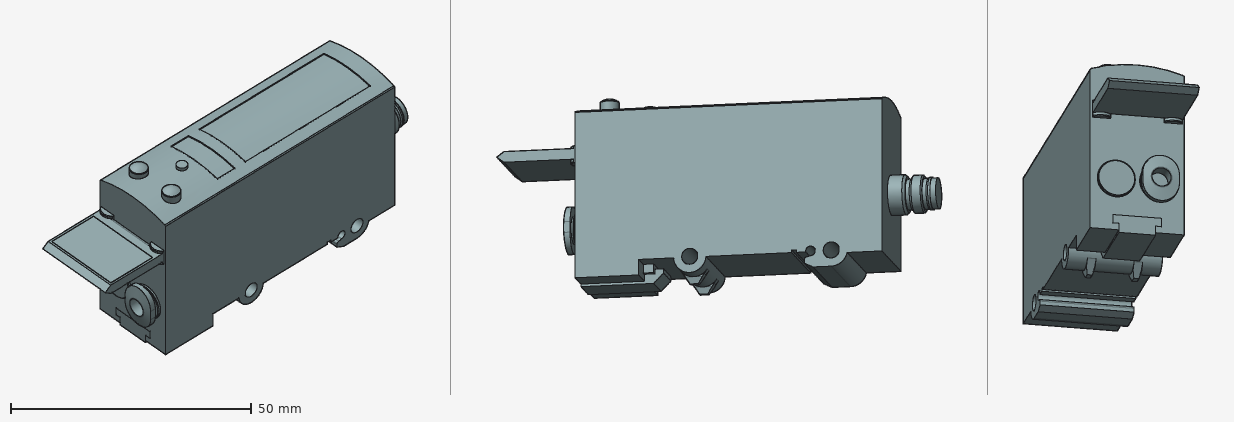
import cadquery as cq
import math


width = 20.0
depth = 65.2
crest_z = 33.7
arch_edge_z = 32.2
edge_chamfer = 0.23
foot_depth = 13.5
foot_bottom_z = -3.3
rear_bottom_z = -0.51

window_width = 14.15
window_sink = 0.3
window_spans = [(17.5, 22.4), (25.5, 60.9)]

button_d = 4.0
button_y = 6.3
button_offset = 5.0
button_shoulder_z = 34.7
button_dome_d = 3.9
button_dome_z = 34.9
button_top_z = 35.6
lamp_d = 2.5
lamp_y = 14.0
lamp_top_z = 34.5

lug_hole_d = 3.4
lug_hole_z = 0.2
lug_radius = 3.45
lug_bottom_z = lug_hole_z - lug_radius
front_lug_y = 24.35
rear_lug_y = 54.4
tip_bottom_z = -4.7
tip_bottom_width = 1.8
tip_tangent_angle = 34
tip_offset = 5.0
tip_root_thickness = 1.8
tip_end_thickness = 1.1
keyhole_d = 2.0
keyhole_y = 50.0
hook_flat_y = 50.5
hook_nose_y = 48.7
hook_nose_z = -2.4
hook_nose_radius = 0.51
hook_top_z = -1.06
notch_width = 1.0
notch_height = 0.55
notch_y = 46.5

flap_width = 19.1
flap_length = 16.7
flap_z = 23.25
flap_thickness = 2.3
flap_bevel = 1.6
recess_width = 18.0
recess_front_y = -14.6
recess_rear_y = -2.8
recess_sink = 0.1
flap_root_radius = 0.8
knuckle_width = 3.9
knuckle_reach = 1.4
knuckle_straight = 0.5
knuckle_height = 3.7
knuckle_z = 23.2
knuckle_chamfer = 0.2

entry_offset = 4.5
entry_z = 8.0
entry_d = 8.0
entry_thickness = 0.6
entry_chamfer = 0.2
gland_neck_d = 5.2
gland_collar_d = 5.8
gland_collar_y = -1.0
gland_flange_rear_y = -1.4
gland_flange_edge_y = -2.6
gland_front_y = -3.1
gland_flange_height = 10.0
gland_flange_width = 7.7
gland_rim_d = 4.4
gland_hole_d = 4.0

plug_z = 13.5
plug_length = 10.0
plug_base_d = 8.5
plug_base_end_d = 7.5
plug_neck_d = 6.5
plug_collar_d = 8.0
plug_collar_end_d = 7.35
plug_rib_d = 6.9
plug_base_chamfer_y = 3.0
plug_base_end_y = 3.6
plug_collar_start_y = 4.4
plug_collar_full_y = 5.0
plug_collar_chamfer_y = 6.9
plug_collar_end_y = 7.2
plug_rib_start_y = 8.0
plug_rib_full_y = 8.4
plug_rib_end_y = 8.8

clip_flange_width = 10.4
clip_flange_bottom_z = -1.8
clip_stem_width = 7.8
clip_bottom_z = -3.9
clip_flange_depth = 15.7
clip_hook_depth = 17.55
clip_hook_top_z = -0.8
clip_hook_nose_z = -1.75

arch_half_width = width / 2 - edge_chamfer
arch_rise = crest_z - arch_edge_z
arch_radius = (arch_half_width**2 + arch_rise**2) / (2 * arch_rise)


def box(x_size, y0, y1, z0, z1):
    """Box centred on X = 0 that spans y0..y1 and z0..z1."""
    block = cq.Workplane("XY").box(x_size, y1 - y0, z1 - z0, centered=(True, False, False))
    return block.translate((0, y0, z0))


def along_y(diameter, y0, y1, x, z):
    """Cylinder along Y from y0 to y1."""
    return cq.Workplane("XZ", origin=(x, y0, z)).circle(diameter / 2).extrude(y0 - y1)


def across(profile_width):
    """Workplane of (Y, Z) outlines for a shape of this X width centred on X = 0."""
    return cq.Workplane("YZ", origin=(-profile_width / 2, 0, 0))


def body_block():
    half = width / 2
    side_top = arch_edge_z - edge_chamfer
    block = (
        cq.Workplane("XZ")
        .moveTo(-half, foot_bottom_z)
        .lineTo(half, foot_bottom_z)
        .lineTo(half, side_top)
        .lineTo(arch_half_width, arch_edge_z)
        .threePointArc((0, crest_z), (-arch_half_width, arch_edge_z))
        .lineTo(-half, side_top)
        .close()
        .extrude(-depth)
    )
    rail_gap = box(width, foot_depth, rear_lug_y, foot_bottom_z, 0)
    rear_gap = box(width, rear_lug_y, depth, foot_bottom_z, rear_bottom_z)
    return block.cut(rail_gap).cut(rear_gap)


def window_cutter(y0, y1):
    floor = along_y(2 * (arch_radius - window_sink), y0, y1, 0, crest_z - arch_radius)
    return box(window_width, y0, y1, arch_edge_z - window_sink, crest_z).cut(floor)


def dome_radius():
    rise = button_top_z - button_dome_z
    return ((button_dome_d / 2) ** 2 + rise**2) / (2 * rise)


def button(x):
    return (
        cq.Workplane("XZ")
        .moveTo(0, arch_edge_z)
        .lineTo(button_d / 2, arch_edge_z)
        .lineTo(button_d / 2, button_shoulder_z)
        .lineTo(button_dome_d / 2, button_dome_z)
        .radiusArc((0, button_top_z), -dome_radius())
        .close()
        .revolve(360, (0, 0, 0), (0, 1, 0))
        .translate((x, button_y, 0))
    )


def lamp():
    return (
        cq.Workplane("XY", origin=(0, lamp_y, arch_edge_z))
        .circle(lamp_d / 2)
        .extrude(lamp_top_z - arch_edge_z)
    )


def front_lug():
    return across(width).center(front_lug_y, lug_hole_z).circle(lug_radius).extrude(width)


def lug_tip(x):
    """Pointed tip under the front lug: tangent flanks seen along X, drafted sides seen along Y."""
    angle = math.radians(tip_tangent_angle)
    flank_y = lug_radius * math.cos(angle)
    flank_z = lug_hole_z - lug_radius * math.sin(angle)
    half_end = tip_bottom_width / 2
    flanks = (
        across(tip_root_thickness)
        .polyline([
            (front_lug_y - flank_y, flank_z),
            (front_lug_y - half_end, tip_bottom_z),
            (front_lug_y + half_end, tip_bottom_z),
            (front_lug_y + flank_y, flank_z),
        ])
        .close()
        .extrude(tip_root_thickness)
    )
    sides = (
        cq.Workplane("XZ", origin=(0, front_lug_y - lug_radius, 0))
        .polyline([
            (-tip_root_thickness / 2, flank_z),
            (-tip_root_thickness / 2, lug_bottom_z),
            (-tip_end_thickness / 2, tip_bottom_z),
            (tip_end_thickness / 2, tip_bottom_z),
            (tip_root_thickness / 2, lug_bottom_z),
            (tip_root_thickness / 2, flank_z),
        ])
        .close()
        .extrude(-2 * lug_radius)
    )
    return flanks.intersect(sides).translate((x, 0, 0))


def rear_lug():
    """Lug with a hook that reaches forward below the keyhole."""
    diagonal = lug_radius * math.sqrt(0.5)
    hook_round = hook_nose_radius * math.sqrt(0.5)
    return (
        across(width)
        .moveTo(rear_lug_y + lug_radius, lug_hole_z)
        .threePointArc((rear_lug_y + diagonal, lug_hole_z - diagonal), (rear_lug_y, lug_bottom_z))
        .lineTo(hook_flat_y, lug_bottom_z)
        .lineTo(hook_nose_y, hook_nose_z)
        .lineTo(hook_nose_y, hook_top_z - hook_nose_radius)
        .threePointArc(
            (hook_nose_y + hook_nose_radius - hook_round, hook_top_z - hook_nose_radius + hook_round),
            (hook_nose_y + hook_nose_radius, hook_top_z),
        )
        .lineTo(keyhole_y, lug_hole_z - keyhole_d / 2)
        .lineTo(keyhole_y, lug_hole_z)
        .close()
        .extrude(width)
    )


def underside_openings():
    holes = across(width).pushPoints([(front_lug_y, lug_hole_z), (rear_lug_y, lug_hole_z)])
    holes = holes.circle(lug_hole_d / 2).extrude(width)
    keyhole = across(width).center(keyhole_y, lug_hole_z).circle(keyhole_d / 2).extrude(width)
    notch = box(width, notch_y - notch_width / 2, notch_y + notch_width / 2, 0, notch_height)
    return holes.union(keyhole).union(notch)


def flap():
    half = flap_thickness / 2
    plate = (
        across(flap_width)
        .polyline([
            (0, flap_z + half),
            (flap_bevel - flap_length, flap_z + half),
            (-flap_length, flap_z),
            (flap_bevel - flap_length, flap_z - half),
            (0, flap_z - half),
        ])
        .close()
        .extrude(flap_width)
    )
    top = flap_z + half
    root = box(flap_width - 2 * knuckle_width, -flap_thickness, 0, flap_z - half, top)
    rounded_root = root.edges("|X and >Y").fillet(flap_root_radius)
    label_recess = box(recess_width, recess_front_y, recess_rear_y, top - recess_sink, top)
    return plate.cut(root).union(rounded_root).cut(label_recess)


def knuckle(side):
    """Hinge knuckle: an upright block with a rounded nose, standing out of the front face."""
    x = side * (flap_width - knuckle_width) / 2
    half = knuckle_width / 2
    return (
        cq.Workplane("XY", origin=(x, 0, knuckle_z - knuckle_height / 2))
        .moveTo(-half, 0)
        .lineTo(-half, -knuckle_straight)
        .threePointArc((0, -knuckle_reach), (half, -knuckle_straight))
        .lineTo(half, 0)
        .close()
        .extrude(knuckle_height)
        .edges("%CIRCLE")
        .chamfer(knuckle_chamfer)
    )


def entry_disc(x):
    disc = along_y(entry_d, 0, -entry_thickness, x, entry_z)
    return disc.faces("<Y").chamfer(entry_chamfer)


def gland():
    """Cable gland: stepped neck and an upright obround flange with a conical front."""
    neck = along_y(gland_neck_d, 0, gland_collar_y, entry_offset, entry_z)
    collar = along_y(gland_collar_d, gland_collar_y, gland_flange_rear_y, entry_offset, entry_z)
    flange = (
        cq.Workplane("XZ", origin=(entry_offset, gland_flange_rear_y, entry_z))
        .slot2D(gland_flange_height, gland_flange_width, 90)
        .extrude(gland_flange_rear_y - gland_front_y)
    )
    cone = (
        cq.Workplane("XY")
        .polyline([
            (0, gland_flange_rear_y),
            (gland_flange_height / 2, gland_flange_rear_y),
            (gland_flange_height / 2, gland_flange_edge_y),
            (gland_rim_d / 2, gland_front_y),
            (0, gland_front_y),
        ])
        .close()
        .revolve(360, (0, 0, 0), (0, 1, 0))
        .translate((entry_offset, 0, entry_z))
    )
    return neck.union(collar).union(flange.intersect(cone))


def gland_hole():
    return along_y(gland_hole_d, gland_front_y, 0, entry_offset, entry_z)


def plug():
    """Turned plug: (radius, distance behind the rear face) outline revolved about its axis."""
    neck = plug_neck_d / 2
    return (
        cq.Workplane("XY")
        .polyline([
            (0, 0),
            (plug_base_d / 2, 0),
            (plug_base_d / 2, plug_base_chamfer_y),
            (plug_base_end_d / 2, plug_base_end_y),
            (neck, plug_base_end_y),
            (neck, plug_collar_start_y),
            (plug_collar_d / 2, plug_collar_full_y),
            (plug_collar_d / 2, plug_collar_chamfer_y),
            (plug_collar_end_d / 2, plug_collar_end_y),
            (neck, plug_collar_end_y),
            (neck, plug_rib_start_y),
            (plug_rib_d / 2, plug_rib_full_y),
            (plug_rib_d / 2, plug_rib_end_y),
            (neck, plug_rib_end_y),
            (neck, plug_length),
            (0, plug_length),
        ])
        .close()
        .revolve(360, (0, 0, 0), (0, 1, 0))
        .translate((0, depth, plug_z))
    )


def clip_section(clip_depth):
    """T-shaped section of the rail clip, run back from the front face."""
    flange = box(clip_flange_width, 0, clip_depth, clip_flange_bottom_z, 0)
    stem = box(clip_stem_width, 0, clip_depth, clip_bottom_z, clip_flange_bottom_z)
    return flange.union(stem)


def build_clip():
    hook_slope = clip_hook_nose_z - clip_bottom_z
    hook = (
        across(clip_stem_width)
        .polyline([
            (foot_depth, clip_hook_top_z),
            (clip_hook_depth, clip_hook_top_z),
            (clip_hook_depth, clip_hook_nose_z),
            (clip_hook_depth - hook_slope, clip_bottom_z),
            (foot_depth, clip_bottom_z),
        ])
        .close()
        .extrude(clip_stem_width)
    )
    exposed_flange = box(clip_flange_width, foot_depth, clip_flange_depth, clip_flange_bottom_z, 0)
    return clip_section(foot_depth).union(exposed_flange).union(hook)


def build_housing():
    housing = body_block().union(front_lug()).union(rear_lug())
    for side in (-1, 1):
        housing = housing.union(lug_tip(side * tip_offset))
        housing = housing.union(button(side * button_offset))
        housing = housing.union(entry_disc(side * entry_offset))
    housing = housing.union(lamp()).union(plug()).union(gland()).union(flap())
    for side in (-1, 1):
        housing = housing.union(knuckle(side))
    for y0, y1 in window_spans:
        housing = housing.cut(window_cutter(y0, y1))
    return housing.cut(underside_openings()).cut(gland_hole()).cut(clip_section(foot_depth))


housing = build_housing()
clip = build_clip()

result = cq.Compound.makeCompound([housing.val(), clip.val()])